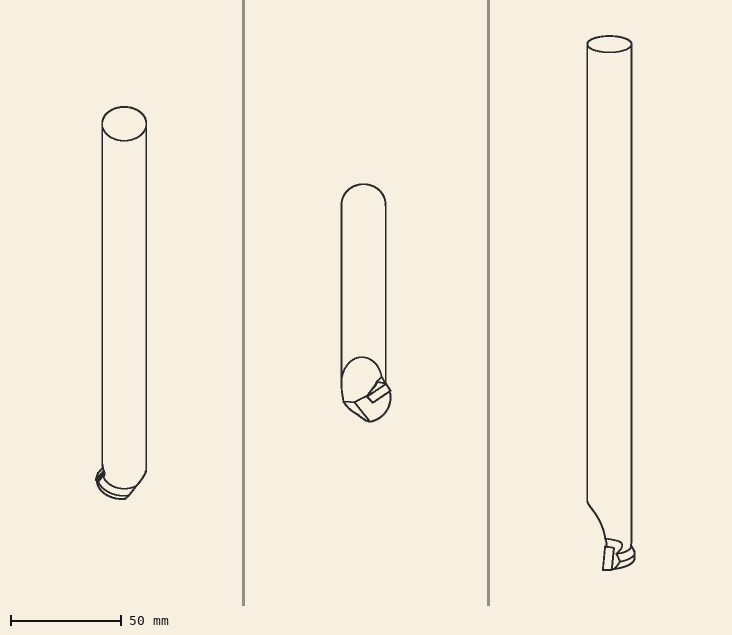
import cadquery as cq
import math

total_length = 251.2
shank_radius = 10.0
margin = 50.2

head_radius = 12.3
head_center_x = -0.5
head_center_y = 0.8
neck_top_z = 9.0
neck_z = 6.8
neck_radius = 9.8
flare_end_z = 3.8
head_bottom_z = 0.5
head_bottom_tilt = 3.0
end_slope_top = (10.0, 9.8)
end_slope_bottom = (4.3, 1.5)

flat_y = 0.8
flat_start_z = 8.5
runout_radius = 24.4
runout_sweep = 45.0
flat_side_tilt = 7.0
flat_drop_tilt = 14.0

notch_corner = (-6.0, 11.3)
notch_upper_angle = 142.0
notch_fillet = 3.0

insert_tip_x = -12.8
insert_side = 11.5
insert_thickness = 4.0
insert_tilt = 3.0
insert_face_y = 0.3
insert_relief_angle = 5.0
insert_nose_radius = 0.5
seat_setback = 0.5
insert_corner_angle = 60.0


def polar(start, angle, distance):
    """Point at a distance and angle in degrees from a start point."""
    radians = math.radians(angle)
    return (start[0] + distance * math.cos(radians), start[1] + distance * math.sin(radians))


def make_insert():
    """Triangular insert whose flanks taper inwards from the cutting face."""
    r = insert_nose_radius
    left_edge_angle = insert_tilt + insert_corner_angle
    nose_center = (insert_tip_x + r, r)
    center_spacing = insert_side - 2 * r / math.tan(math.radians(insert_corner_angle / 2))
    lower_center = polar(nose_center, insert_tilt, center_spacing)
    upper_center = polar(nose_center, left_edge_angle, center_spacing)
    return (
        cq.Workplane("XZ", origin=(0, insert_face_y, 0))
        .polyline([nose_center, lower_center, upper_center])
        .close()
        .offset2D(r)
        .extrude(insert_thickness, taper=insert_relief_angle)
    )


def make_blank():
    """Round shank with an eccentric flared head at its lower end."""
    shank = cq.Workplane("XY", origin=(0, 0, neck_top_z)).circle(shank_radius).extrude(total_length - neck_top_z)
    neck = (
        cq.Workplane("XY", origin=(0, 0, neck_z))
        .circle(neck_radius)
        .workplane(offset=neck_top_z - neck_z)
        .circle(shank_radius)
        .loft(ruled=True)
    )
    flare = (
        cq.Workplane("XY", origin=(0, 0, neck_z))
        .circle(neck_radius)
        .workplane(offset=flare_end_z - neck_z)
        .center(head_center_x, head_center_y)
        .circle(head_radius)
        .loft(ruled=True)
    )
    head = (
        cq.Workplane("XY", origin=(head_center_x, head_center_y, 0))
        .circle(head_radius)
        .extrude(flare_end_z)
    )
    return shank.union(neck).union(flare).union(head)


def make_chip_flat_cutter():
    """Flat with a curved run-out, swept along a line tilted in Y and Z."""
    center = (flat_y + runout_radius, flat_start_z)
    mid = polar(center, 180 - runout_sweep / 2, runout_radius)
    end = polar(center, 180 - runout_sweep, runout_radius)
    return (
        cq.Workplane("YZ")
        .moveTo(flat_y, -margin)
        .lineTo(flat_y, flat_start_z)
        .threePointArc(mid, end)
        .lineTo(end[0] + margin, end[1] + margin)
        .lineTo(end[0] + margin, -margin)
        .close()
        .extrude(margin, both=True)
        .rotate((0, 0, flat_start_z), (0, 1, flat_start_z), flat_drop_tilt)
        .rotate((0, 0, 0), (0, 0, 1), flat_side_tilt)
    )


def make_notch_cutter():
    """V notch clearing the side of the head in front of the insert."""
    upper_end = polar(notch_corner, notch_upper_angle, margin)
    lower_end = polar(
        (insert_tip_x + seat_setback / math.sin(math.radians(insert_corner_angle)), 0),
        insert_tilt + insert_corner_angle + 180,
        margin,
    )
    return (
        cq.Workplane("XZ")
        .polyline([notch_corner, upper_end, lower_end])
        .close()
        .extrude(margin, both=True)
        .edges(cq.selectors.NearestToPointSelector((notch_corner[0], 0, notch_corner[1])))
        .fillet(notch_fillet)
    )


def make_end_cutter():
    """Slanted end of the head on the +X side."""
    rise = end_slope_top[1] - end_slope_bottom[1]
    run = end_slope_top[0] - end_slope_bottom[0]
    slope = math.degrees(math.atan2(rise, run))
    return (
        cq.Workplane("XZ")
        .polyline([
            polar(end_slope_top, slope, margin),
            polar(end_slope_bottom, slope + 180, margin),
            (margin, -margin),
        ])
        .close()
        .extrude(margin, both=True)
    )


def make_bottom_cutter():
    """Tilted underside of the head, clear of the cutting edge."""
    return (
        cq.Workplane("XY")
        .box(2 * margin, 2 * margin, margin, centered=(True, True, False))
        .translate((0, 0, -margin))
        .rotate((0, 0, 0), (0, 1, 0), -head_bottom_tilt)
        .translate((insert_tip_x, 0, head_bottom_z))
    )


def make_holder(insert):
    """Boring bar with its head cut to shape and a seat for the insert."""
    return (
        make_blank()
        .cut(make_chip_flat_cutter())
        .cut(make_notch_cutter())
        .cut(make_end_cutter())
        .cut(make_bottom_cutter())
        .cut(insert)
    )


insert = make_insert()
holder = make_holder(insert)
result = cq.Compound.makeCompound([holder.val(), insert.val()])